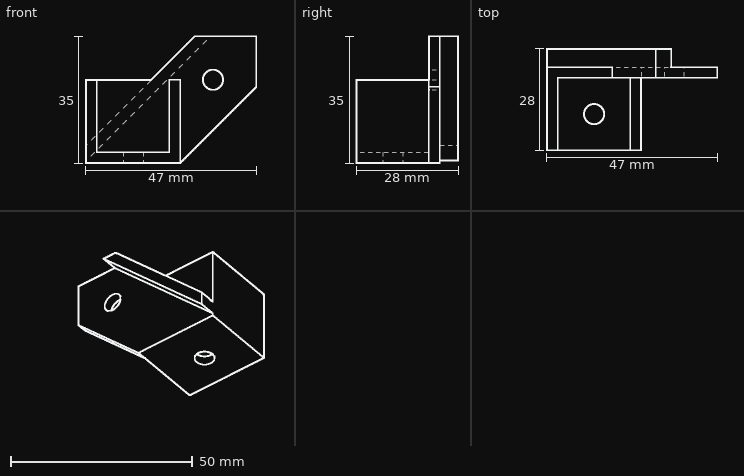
import cadquery as cq
import math

length = 47.0
depth = 28.0
height = 35.0

wall = 3.0
channel_width = 26.0
channel_height = 23.0
channel_depth = 23.0

slope_start = 5.0

hole_diameter = 5.5
floor_hole_y = 10.0
plate_hole_x = 35.0
plate_hole_z = channel_height

cavity_depth = channel_depth - wall
slope_top_x = height - slope_start
slope_channel_x = channel_height - slope_start
lower_corner_z = length - channel_width
rib_offset = wall * math.sqrt(2)


def extrude_back(points, front_y, thickness):
    """Extrude an XZ outline from front_y toward +Y."""
    plane = cq.Workplane("XZ", origin=(0, front_y, 0))
    return plane.polyline(points).close().extrude(-thickness)


channel = extrude_back(
    [
        (0, 0),
        (channel_width, 0),
        (channel_width, channel_height),
        (channel_width - wall, channel_height),
        (channel_width - wall, wall),
        (wall, wall),
        (wall, channel_height),
        (0, channel_height),
    ],
    0,
    channel_depth,
)

back_plate = extrude_back(
    [
        (0, 0),
        (channel_width, 0),
        (length, lower_corner_z),
        (length, height),
        (slope_top_x, height),
        (slope_channel_x, channel_height),
        (0, channel_height),
    ],
    cavity_depth,
    wall,
)

rib = extrude_back(
    [
        (0, slope_start - rib_offset),
        (slope_top_x + rib_offset, height),
        (slope_top_x, height),
        (0, slope_start),
    ],
    channel_depth,
    depth - channel_depth,
)

floor_hole = (
    cq.Workplane("XY")
    .center(channel_width / 2, floor_hole_y)
    .circle(hole_diameter / 2)
    .extrude(wall)
)

plate_hole = (
    cq.Workplane("XZ", origin=(plate_hole_x, cavity_depth, plate_hole_z))
    .circle(hole_diameter / 2)
    .extrude(-wall)
)

result = channel.union(back_plate).union(rib).cut(floor_hole).cut(plate_hole)